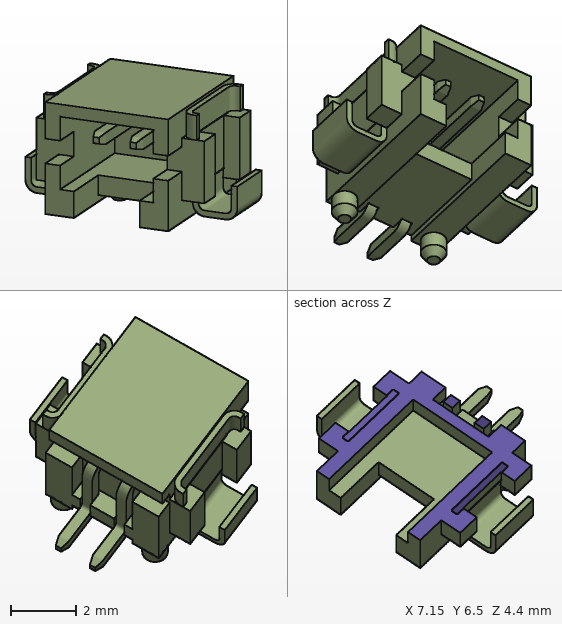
import cadquery as cq


HOUSING_WIDTH = 4.15
HOUSING_DEPTH = 5.005
HOUSING_HEIGHT = 3.605
SIDE_WALL = 0.5
ROOF_WALL = 0.4
BACK_WALL = 0.4
FLOOR_TOP = 0.86
ROOF_DEPTH = 4.8

CHANNEL_WIDTH = 2.22
CHANNEL_HEIGHT = 0.215
FLOOR_FRONT = 1.8

SIDE_SLOT_BOTTOM = 1.63
SIDE_SLOT_TOP = 2.43

REAR_WALL_TOP = 2.51
REAR_GAP_TOP = 3.0

BLOCK_FRONT = 1.0
BLOCK_REAR = 4.405
BLOCK_REACH = 0.76
BLOCK_BOTTOM = 0.71
BLOCK_TOP = 2.71

PEG_DIAMETER = 0.8
PEG_TIP_DIAMETER = 0.4
PEG_LENGTH = 0.795
PEG_STRAIGHT_LENGTH = 0.5

CONTACT_PITCH = 1.25
CONTACT_SIZE = 0.37
CONTACT_TIP_SIZE = 0.2
CONTACT_TIP_LENGTH = 0.3
CONTACT_FRONT = 0.585
CONTACT_REAR = 6.5
CONTACT_AXIS_HEIGHT = 2.395
CONTACT_RISER_REAR = 4.9
CONTACT_UPPER_BEND = 0.14
CONTACT_LOWER_BEND = 0.11

SHEET = 0.2
SHEET_INNER_BEND = 0.2
PLATE_THICKNESS = 0.215
PLATE_WIDTH = 2.4
PLATE_BOTTOM = 1.0
BRACKET_TOP = 3.5
BRACKET_REACH = 0.5
FOOT_WIDTH = 1.8
FOOT_REACH = 1.5
FOOT_LIP_TOP = 1.115

HALF_WIDTH = HOUSING_WIDTH / 2
HALF_CAVITY = HALF_WIDTH - SIDE_WALL
HALF_CHANNEL = CHANNEL_WIDTH / 2
CAVITY_DEPTH = BLOCK_REAR - BACK_WALL
HALF_CONTACT = CONTACT_SIZE / 2
CONTACT_RISER_FRONT = CONTACT_RISER_REAR - CONTACT_SIZE
CONTACT_TOP = CONTACT_AXIS_HEIGHT + HALF_CONTACT
CONTACT_XS = [-CONTACT_PITCH / 2, CONTACT_PITCH / 2]
SHEET_OUTER_BEND = SHEET_INNER_BEND + SHEET
CLIP_MIDDLE = (BLOCK_FRONT + BLOCK_REAR) / 2


def box(x_range, y_range, z_range):
    """Axis-aligned box given by its limits along X, Y and Z."""
    size = [high - low for low, high in (x_range, y_range, z_range)]
    corner = (x_range[0], y_range[0], z_range[0])
    return cq.Workplane("XY").box(*size, centered=False).translate(corner)


def centred_box(half_width, y_range, z_range):
    """Box symmetric about the mid-plane X = 0."""
    return box((-half_width, half_width), y_range, z_range)


def both_sides(body):
    """The body on the +X side and its mirror image on the -X side."""
    return [body, body.mirror("YZ")]


def tapered_tip(base_y, tip_y, z):
    """Square tip narrowing along Y from the contact section to its end."""
    base = cq.Workplane("XZ", origin=(0, base_y, z)).rect(CONTACT_SIZE, CONTACT_SIZE)
    tip_end = base.workplane(offset=base_y - tip_y).rect(CONTACT_TIP_SIZE, CONTACT_TIP_SIZE)
    return tip_end.loft()


def make_contact(x):
    """Pin running back from the cavity, bent down behind it and out along the mounting plane."""
    pin_base = CONTACT_FRONT + CONTACT_TIP_LENGTH
    tail_base = CONTACT_REAR - CONTACT_TIP_LENGTH
    outline = [
        (pin_base, CONTACT_TOP),
        (CONTACT_RISER_REAR, CONTACT_TOP),
        (CONTACT_RISER_REAR, CONTACT_SIZE),
        (tail_base, CONTACT_SIZE),
        (tail_base, 0),
        (CONTACT_RISER_FRONT, 0),
        (CONTACT_RISER_FRONT, CONTACT_TOP - CONTACT_SIZE),
        (pin_base, CONTACT_TOP - CONTACT_SIZE),
    ]
    bent_wire = cq.Workplane("YZ").polyline(outline).close().extrude(HALF_CONTACT, both=True)
    bends = [
        (CONTACT_RISER_REAR, CONTACT_TOP, CONTACT_UPPER_BEND + CONTACT_SIZE),
        (CONTACT_RISER_FRONT, CONTACT_TOP - CONTACT_SIZE, CONTACT_UPPER_BEND),
        (CONTACT_RISER_REAR, CONTACT_SIZE, CONTACT_LOWER_BEND),
        (CONTACT_RISER_FRONT, 0, CONTACT_LOWER_BEND + CONTACT_SIZE),
    ]
    for y, z, radius in bends:
        bent_wire = bent_wire.edges(cq.NearestToPointSelector((0, y, z))).fillet(radius)
    pin_tip = tapered_tip(pin_base, CONTACT_FRONT, CONTACT_AXIS_HEIGHT)
    tail_tip = tapered_tip(tail_base, CONTACT_REAR, HALF_CONTACT)
    return bent_wire.union(pin_tip).union(tail_tip).translate((x, 0, 0))


def fillet_upright(body, corner, radius):
    """Round the vertical edge nearest to a corner."""
    return body.edges("|Z").edges(cq.NearestToPointSelector(corner)).fillet(radius)


def make_bracket():
    """Upright strip against the housing side, its two ends curled outward, standing on the blocks."""
    outer_x = HALF_WIDTH + BRACKET_REACH
    outline = [
        (outer_x, BLOCK_FRONT),
        (HALF_WIDTH, BLOCK_FRONT),
        (HALF_WIDTH, BLOCK_REAR),
        (outer_x, BLOCK_REAR),
        (outer_x, BLOCK_REAR - SHEET),
        (HALF_WIDTH + SHEET, BLOCK_REAR - SHEET),
        (HALF_WIDTH + SHEET, BLOCK_FRONT + SHEET),
        (outer_x, BLOCK_FRONT + SHEET),
    ]
    strip = cq.Workplane("XY").workplane(offset=BLOCK_TOP).polyline(outline).close()
    strip = strip.extrude(BRACKET_TOP - BLOCK_TOP)
    for y, inward in ((BLOCK_FRONT, 1), (BLOCK_REAR, -1)):
        outer_corner = (HALF_WIDTH, y, BLOCK_TOP)
        inner_corner = (HALF_WIDTH + SHEET, y + inward * SHEET, BLOCK_TOP)
        strip = fillet_upright(strip, outer_corner, SHEET_OUTER_BEND)
        strip = fillet_upright(strip, inner_corner, SHEET_INNER_BEND)
    return strip


def make_plate():
    """Flat plate below the bracket, its front and rear edges held in the blocks."""
    return box(
        (HALF_WIDTH, HALF_WIDTH + PLATE_THICKNESS),
        (CLIP_MIDDLE - PLATE_WIDTH / 2, CLIP_MIDDLE + PLATE_WIDTH / 2),
        (PLATE_BOTTOM, BLOCK_TOP),
    )


def make_foot():
    """Solder foot: down from the plate, out along the mounting plane and up to a lip."""
    outer_x = HALF_WIDTH + FOOT_REACH
    outline = [
        (HALF_WIDTH, PLATE_BOTTOM),
        (HALF_WIDTH, 0),
        (outer_x, 0),
        (outer_x, FOOT_LIP_TOP),
        (outer_x - SHEET, FOOT_LIP_TOP),
        (outer_x - SHEET, SHEET),
        (HALF_WIDTH + SHEET, SHEET),
        (HALF_WIDTH + SHEET, PLATE_BOTTOM),
    ]
    foot = cq.Workplane("XZ", origin=(0, CLIP_MIDDLE, 0)).polyline(outline).close()
    foot = foot.extrude(FOOT_WIDTH / 2, both=True)
    bends = [
        (HALF_WIDTH, 0, SHEET_OUTER_BEND),
        (outer_x, 0, SHEET_OUTER_BEND),
        (HALF_WIDTH + SHEET, SHEET, SHEET_INNER_BEND),
        (outer_x - SHEET, SHEET, SHEET_INNER_BEND),
    ]
    for x, z, radius in bends:
        corner = (x, CLIP_MIDDLE, z)
        foot = foot.edges("|Y").edges(cq.NearestToPointSelector(corner)).fillet(radius)
    return foot


def make_shell():
    """Hollow housing box with its front openings, underside channel and rear step."""
    shell = centred_box(HALF_WIDTH, (0, HOUSING_DEPTH), (0, HOUSING_HEIGHT))
    cavity = centred_box(HALF_CAVITY, (0, CAVITY_DEPTH), (FLOOR_TOP, HOUSING_HEIGHT - ROOF_WALL))
    floor_opening = centred_box(HALF_CHANNEL, (0, FLOOR_FRONT), (0, FLOOR_TOP))
    channel = centred_box(HALF_CHANNEL, (0, HOUSING_DEPTH), (0, CHANNEL_HEIGHT))
    side_slots = centred_box(HALF_WIDTH, (0, BLOCK_FRONT), (SIDE_SLOT_BOTTOM, SIDE_SLOT_TOP))
    rear_gap = centred_box(HALF_WIDTH, (BLOCK_REAR, HOUSING_DEPTH), (REAR_WALL_TOP, REAR_GAP_TOP))
    roof_end = centred_box(HALF_WIDTH, (ROOF_DEPTH, HOUSING_DEPTH), (REAR_GAP_TOP, HOUSING_HEIGHT))
    rear_notch = centred_box(HALF_CHANNEL, (BLOCK_REAR, HOUSING_DEPTH), (FLOOR_TOP, REAR_WALL_TOP))
    for opening in (cavity, floor_opening, channel, side_slots, rear_gap, roof_end, rear_notch):
        shell = shell.cut(opening)
    return shell


def make_block(y_range):
    """Block on the +X side of the housing."""
    return box((HALF_WIDTH, HALF_WIDTH + BLOCK_REACH), y_range, (BLOCK_BOTTOM, BLOCK_TOP))


def make_peg():
    """Locating peg with a conical end, below the rear corner on the +X side."""
    radius = PEG_DIAMETER / 2
    profile = [
        (0, 0),
        (radius, 0),
        (radius, -PEG_STRAIGHT_LENGTH),
        (PEG_TIP_DIAMETER / 2, -PEG_LENGTH),
        (0, -PEG_LENGTH),
    ]
    peg = cq.Workplane("XZ").polyline(profile).close().revolve(360, (0, 0, 0), (0, 1, 0))
    return peg.translate((HALF_WIDTH - radius, HOUSING_DEPTH - radius, 0))


def contact_slot(x):
    """Slot through the rear of the floor, open to the back, for a contact's lower end."""
    return box(
        (x - HALF_CONTACT, x + HALF_CONTACT),
        (CONTACT_RISER_FRONT, HOUSING_DEPTH),
        (0, FLOOR_TOP),
    )


def make_housing(contacts, plates):
    """Shell with blocks and pegs, cut to receive the contacts and the clip plates."""
    front_block = make_block((BLOCK_FRONT, CLIP_MIDDLE - FOOT_WIDTH / 2))
    rear_block = make_block((CLIP_MIDDLE + FOOT_WIDTH / 2, BLOCK_REAR))
    housing = make_shell()
    for feature in (front_block, rear_block, make_peg()):
        for placed in both_sides(feature):
            housing = housing.union(placed)
    for x in CONTACT_XS:
        housing = housing.cut(contact_slot(x))
    for seated in contacts + plates:
        housing = housing.cut(seated)
    return housing


contacts = [make_contact(x) for x in CONTACT_XS]
brackets = both_sides(make_bracket())
plates = both_sides(make_plate())
feet = both_sides(make_foot())
housing = make_housing(contacts, plates)

bodies = [housing] + contacts + brackets + plates + feet
result = cq.Compound.makeCompound([body.val() for body in bodies])